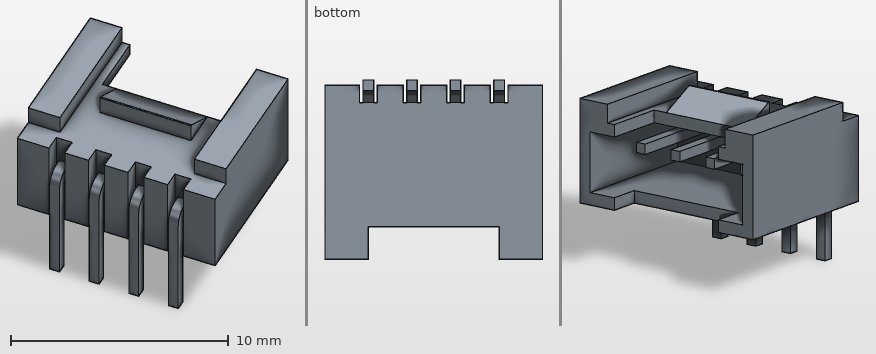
import cadquery as cq
import math

housing_width = 10.0
housing_depth = 8.0
housing_height = 5.0
deck_height = 4.1
wall = 0.6

rail_width = 1.6
rail_front = 1.2

rear_wall = 0.6
notch_width = 6.0
roof_rear = 5.0
floor_rear = 6.5

ramp_width = 4.6
ramp_front = 3.2
ramp_ridge = 0.08

pin_count = 4
pin_pitch = 2.0
pin_size = 0.5
pin_axis_height = 2.5
pin_rear = 6.0
pin_overhang = 0.25
pin_drop = 3.1
bend_inner_radius = 0.25
slot_width = 0.8
slot_depth = 0.8

pin_positions = [(i - (pin_count - 1) / 2) * pin_pitch for i in range(pin_count)]


def block(width, y_range, z_range, x_center=0.0):
    """Box given by its width about x_center and its Y and Z limits."""
    depth = y_range[1] - y_range[0]
    height = z_range[1] - z_range[0]
    return (
        cq.Workplane("XY")
        .box(width, depth, height, centered=(True, False, False))
        .translate((x_center, y_range[0], z_range[0]))
    )


def make_ramp():
    """Wedge rising from the roof notch to a narrow ridge at its front."""
    return (
        cq.Workplane("YZ")
        .moveTo(roof_rear, deck_height)
        .lineTo(ramp_front + ramp_ridge, housing_height)
        .lineTo(ramp_front, housing_height)
        .lineTo(ramp_front, deck_height)
        .close()
        .extrude(ramp_width / 2, both=True)
    )


def make_housing():
    body = block(housing_width, (0, housing_depth), (0, deck_height))

    roof_underside = deck_height - wall
    cavity_front = slot_depth + rear_wall
    body = body.cut(block(housing_width - 2 * wall, (cavity_front, housing_depth), (wall, roof_underside)))
    body = body.cut(block(notch_width, (roof_rear, housing_depth), (roof_underside, deck_height)))
    body = body.cut(block(notch_width, (floor_rear, housing_depth), (0, wall)))

    rail_offset = (housing_width - rail_width) / 2
    for side in (-1, 1):
        rail = block(rail_width, (rail_front, housing_depth), (deck_height, housing_height), side * rail_offset)
        body = body.union(rail)
    body = body.union(make_ramp())

    pin_z_range = (pin_axis_height - pin_size / 2, pin_axis_height + pin_size / 2)
    for x in pin_positions:
        body = body.cut(block(slot_width, (0, slot_depth), (0, deck_height), x))
        body = body.cut(block(pin_size, (slot_depth, cavity_front), pin_z_range, x))
    return body


def make_pin(x):
    """Square pin with a horizontal contact and a leg bent straight down."""
    outer_radius = bend_inner_radius + pin_size
    top = pin_axis_height + pin_size / 2
    bend_y = outer_radius - pin_overhang
    bend_z = top - outer_radius
    diagonal = math.sqrt(0.5)

    def bend_middle(radius):
        return (bend_y - radius * diagonal, bend_z + radius * diagonal)

    return (
        cq.Workplane("YZ")
        .moveTo(pin_rear, top)
        .lineTo(bend_y, top)
        .threePointArc(bend_middle(outer_radius), (-pin_overhang, bend_z))
        .lineTo(-pin_overhang, -pin_drop)
        .lineTo(pin_size - pin_overhang, -pin_drop)
        .lineTo(pin_size - pin_overhang, bend_z)
        .threePointArc(bend_middle(bend_inner_radius), (bend_y, top - pin_size))
        .lineTo(pin_rear, top - pin_size)
        .close()
        .extrude(pin_size / 2, both=True)
        .translate((x, 0, 0))
    )


housing = make_housing()
pins = [make_pin(x) for x in pin_positions]
result = cq.Compound.makeCompound([housing.val(), *[pin.val() for pin in pins]])